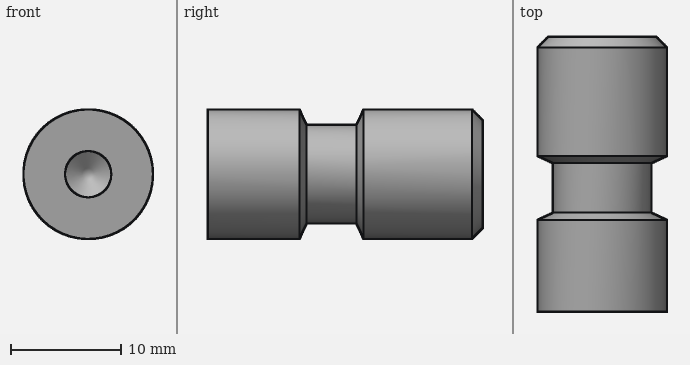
import cadquery as cq
import math

length = 25.0
body_diameter = 11.8
back_chamfer = 1.0

groove_diameter = 9.0
groove_floor_start = 9.0
groove_floor_width = 4.5
groove_wall_angle = 25.0

hole_diameter = 4.2
hole_depth = 12.0
drill_point_angle = 118.0

body_radius = body_diameter / 2
groove_radius = groove_diameter / 2
hole_radius = hole_diameter / 2
groove_floor_end = groove_floor_start + groove_floor_width
wall_run = (body_radius - groove_radius) * math.tan(math.radians(groove_wall_angle))
drill_point_length = hole_radius / math.tan(math.radians(drill_point_angle / 2))


def revolve_about_y(profile):
    """Turn a closed (radius, y) profile about the Y axis."""
    return cq.Workplane("XY").polyline(profile).close().revolve(360, (0, 0, 0), (0, 1, 0))


body = revolve_about_y([
    (0, 0),
    (body_radius, 0),
    (body_radius, groove_floor_start - wall_run),
    (groove_radius, groove_floor_start),
    (groove_radius, groove_floor_end),
    (body_radius, groove_floor_end + wall_run),
    (body_radius, length - back_chamfer),
    (body_radius - back_chamfer, length),
    (0, length),
])

drilled_hole = revolve_about_y([
    (0, 0),
    (hole_radius, 0),
    (hole_radius, hole_depth),
    (0, hole_depth + drill_point_length),
])

result = body.cut(drilled_hole)